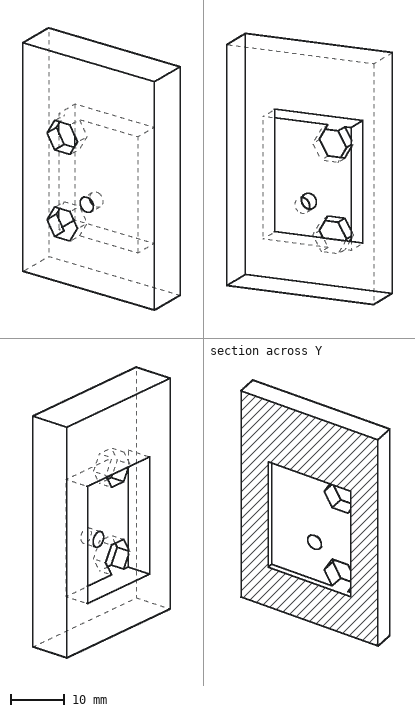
import cadquery as cq
import math

width = 30.0
thickness = 8.25
height = 46.5

hex_flats = 6.0
hex_x = -6.0
lower_hex_z = -11.25
hex_spacing = 17.62
upper_hex_z = lower_hex_z + hex_spacing
hex_corners = hex_flats / math.cos(math.pi / 6)

hole_diameter = 3.0
hole_x = -0.4
hole_z = -5.85

front_wall = 3.0
pocket_width = 18.0
pocket_height = hex_spacing + hex_flats
pocket_z = (lower_hex_z + upper_hex_z) / 2
pocket_depth = thickness - front_wall


def back_sketch():
    """XZ workplane on the back face; extrusion runs toward the front (-Y)."""
    return cq.Workplane("XZ", origin=(0, thickness / 2, 0))


plate = cq.Workplane("XY").box(width, thickness, height)

pocket = back_sketch().center(0, pocket_z).rect(pocket_width, pocket_height).extrude(pocket_depth)

wall_sketch = back_sketch().workplane(offset=pocket_depth)
hex_centres = [(hex_x, lower_hex_z), (hex_x, upper_hex_z)]
windows = wall_sketch.pushPoints(hex_centres).polygon(6, hex_corners).extrude(front_wall)
hole = wall_sketch.pushPoints([(hole_x, hole_z)]).circle(hole_diameter / 2).extrude(front_wall)

result = plate.cut(pocket).cut(windows).cut(hole)